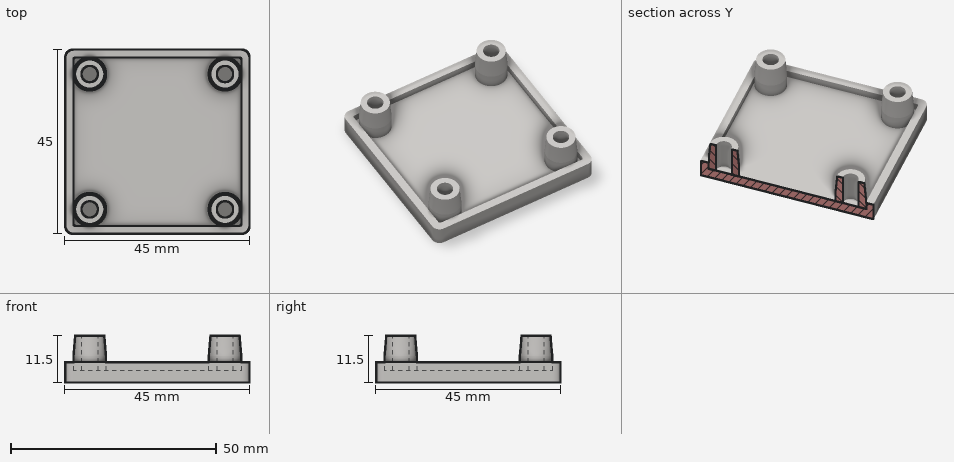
import cadquery as cq

tray_side = 45.0
tray_height = 5.0
wall_thickness = 2.0
floor_thickness = 3.0
outer_corner_radius = 2.0
inner_corner_radius = 0.5

overall_height = 11.47
post_diameter = 8.0
post_tip_diameter = 7.15
post_bore_diameter = 4.0
taper_length = 5.0

cavity_side = tray_side - 2 * wall_thickness
post_offset = (cavity_side - post_diameter) / 2
post_height = overall_height - floor_thickness
post_straight_length = post_height - taper_length


def make_tray():
    """Square open tray with rounded vertical corners."""
    block = (
        cq.Workplane("XY")
        .rect(tray_side, tray_side)
        .extrude(tray_height)
        .edges("|Z")
        .fillet(outer_corner_radius)
    )
    cavity = (
        cq.Workplane("XY")
        .workplane(offset=floor_thickness)
        .rect(cavity_side, cavity_side)
        .extrude(tray_height - floor_thickness)
        .edges("|Z")
        .fillet(inner_corner_radius)
    )
    return block.cut(cavity)


def make_post(x, y):
    """Hollow round post standing on the tray floor, tapered towards its tip."""
    bore_radius = post_bore_diameter / 2
    base_radius = post_diameter / 2
    tip_radius = post_tip_diameter / 2
    return (
        cq.Workplane("XZ")
        .moveTo(bore_radius, 0)
        .lineTo(base_radius, 0)
        .lineTo(base_radius, post_straight_length)
        .lineTo(tip_radius, post_height)
        .lineTo(bore_radius, post_height)
        .close()
        .revolve(360, (0, 0, 0), (0, 1, 0))
        .translate((x, y, floor_thickness))
    )


tray = make_tray()
posts = [
    make_post(x, y)
    for x in (-post_offset, post_offset)
    for y in (-post_offset, post_offset)
]

result = cq.Compound.makeCompound([tray.val(), *[post.val() for post in posts]])